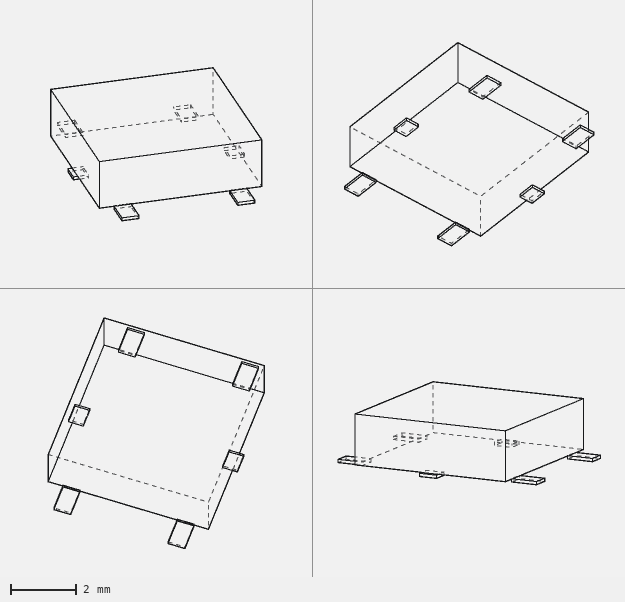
import cadquery as cq

overall_x = 6.86
overall_y = 5.48
overall_z = 1.7

housing_side = 5.2
lead_thickness = 0.1
housing_height = overall_z - lead_thickness

corner_lead_length = 0.865
corner_lead_width = 0.55
corner_lead_spacing = 3.705

middle_lead_length = 0.48
middle_lead_width = 0.6


def make_housing():
    """Plain block whose underside rests on the tops of the leads."""
    block = cq.Workplane("XY").box(housing_side, housing_side, housing_height, centered=(True, True, False))
    return block.translate((0, 0, lead_thickness))


def make_lead(size_x, size_y, center_x, center_y):
    """Flat strip with its underside at Z = 0."""
    strip = cq.Workplane("XY").box(size_x, size_y, lead_thickness, centered=(True, True, False))
    return strip.translate((center_x, center_y, 0))


housing = make_housing()

corner_lead_x = (overall_x - corner_lead_length) / 2
middle_lead_y = (overall_y - middle_lead_length) / 2

corner_leads = [
    make_lead(corner_lead_length, corner_lead_width, side_x * corner_lead_x, side_y * corner_lead_spacing / 2)
    for side_x in (-1, 1)
    for side_y in (-1, 1)
]
middle_leads = [
    make_lead(middle_lead_width, middle_lead_length, 0, side_y * middle_lead_y)
    for side_y in (-1, 1)
]

result = cq.Compound.makeCompound(
    [housing.val()] + [lead.val() for lead in corner_leads + middle_leads]
)